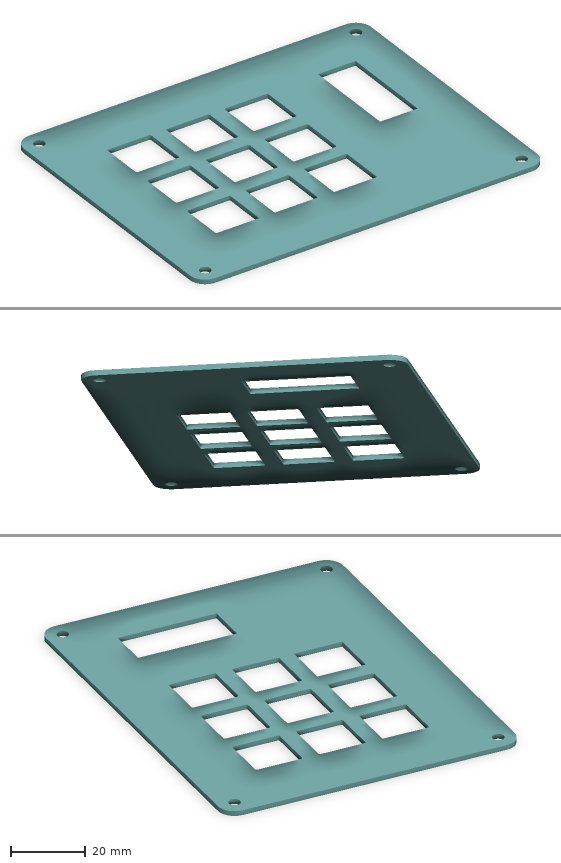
import cadquery as cq

plate_width = 89.2
plate_length = 112.6
plate_thickness = 1.5
corner_radius = 5.0

mount_hole_diameter = 3.4
mount_spacing_x = plate_width - 2 * corner_radius
mount_spacing_y = plate_length - 2 * corner_radius

key_count = 3
key_pitch = 19.0
key_size = 14.1
key_corner_radius = 0.5
key_grid_x = -0.6
key_grid_y = -12.2

wide_key_width = 14.5
wide_key_height = 14.0
wide_key_shift_x = -0.1
wide_key_shift_y = 0.1

window_width = 29.7
window_height = 12.2
window_x = -12.5
window_y = 36.8


def rectangular_cutter(width, height, x, y):
    """Block through the full plate thickness, centred at (x, y)."""
    block = cq.Workplane("XY").box(width, height, plate_thickness, centered=(True, True, False))
    return block.translate((x, y, 0))


def key_cutter(column, row):
    """Cutter for one key opening; columns count in +X and rows in +Y."""
    middle = (key_count - 1) / 2
    x = key_grid_x + (column - middle) * key_pitch
    y = key_grid_y + (row - middle) * key_pitch
    last = key_count - 1
    if column == last and row == last:
        return rectangular_cutter(
            wide_key_width, wide_key_height, x + wide_key_shift_x, y + wide_key_shift_y
        )
    return rectangular_cutter(key_size, key_size, x, y).edges("|Z").fillet(key_corner_radius)


result = cq.Workplane("XY").box(
    plate_width, plate_length, plate_thickness, centered=(True, True, False)
)
result = result.edges("|Z").fillet(corner_radius)

result = (
    result.faces(">Z")
    .workplane(origin=(0, 0, plate_thickness))
    .rarray(mount_spacing_x, mount_spacing_y, 2, 2)
    .hole(mount_hole_diameter)
)

result = result.cut(rectangular_cutter(window_width, window_height, window_x, window_y))
for column in range(key_count):
    for row in range(key_count):
        result = result.cut(key_cutter(column, row))